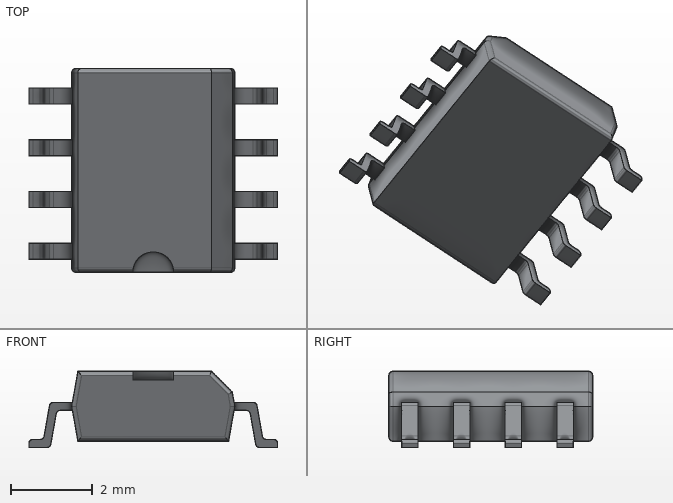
import cadquery as cq
import math

SPAN = 6.1
HEIGHT = 1.87
DRAFT = math.tan(math.radians(10))

BODY_LENGTH = 5.0
BODY_WIDTH = 4.0
STANDOFF = 0.15
BEVEL_DROP = 0.51
END_RADIUS = 0.11

NOTCH_RADIUS = 0.5
NOTCH_DEPTH = 0.22

LEADS_PER_SIDE = 4
LEAD_PITCH = 1.27
LEAD_ROW_OFFSET = -0.08
LEAD_WIDTH = 0.4
LEAD_THICKNESS = 0.2
LEAD_TOP = 1.11
LEAD_SHOULDER = 2.53
LEAD_EMBED = 0.245
LEAD_RADIUS = 0.1


def make_body():
    """Extrude the drafted cross-section along Y and round the edges of both ends."""
    half_width = BODY_WIDTH / 2
    parting_z = (HEIGHT + STANDOFF) / 2
    face_half_width = half_width - (HEIGHT - parting_z) * DRAFT
    bevel_z = HEIGHT - BEVEL_DROP
    bevel_x = half_width - (bevel_z - parting_z) * DRAFT
    outline = [
        (-face_half_width, STANDOFF),
        (face_half_width, STANDOFF),
        (half_width, parting_z),
        (bevel_x, bevel_z),
        (bevel_x - BEVEL_DROP, HEIGHT),
        (-face_half_width, HEIGHT),
        (-half_width, parting_z),
    ]
    body = cq.Workplane("XZ").polyline(outline).close().extrude(BODY_LENGTH / 2, both=True)
    return body.faces("<Y or >Y").edges().fillet(END_RADIUS)


def make_notch():
    """Cylinder centred on the -Y end face, sunk into the top of the body."""
    return (
        cq.Workplane("XY", origin=(0, -BODY_LENGTH / 2, HEIGHT - NOTCH_DEPTH))
        .circle(NOTCH_RADIUS)
        .extrude(NOTCH_DEPTH)
    )


def make_lead():
    """One +X lead, centred on Y = 0: shoulder, sloping leg and flat foot of equal thickness."""
    tip_x = SPAN / 2
    root_x = BODY_WIDTH / 2 - LEAD_EMBED
    shoulder_bottom = LEAD_TOP - LEAD_THICKNESS
    leg_thickness_x = LEAD_THICKNESS * math.hypot(1, DRAFT)

    def leg_outer_x(z):
        return LEAD_SHOULDER + (LEAD_TOP - z) * DRAFT

    def leg_inner_x(z):
        return leg_outer_x(z) - leg_thickness_x

    outline = [
        (root_x, LEAD_TOP),
        (LEAD_SHOULDER, LEAD_TOP),
        (leg_outer_x(LEAD_THICKNESS), LEAD_THICKNESS),
        (tip_x, LEAD_THICKNESS),
        (tip_x, 0),
        (leg_inner_x(0), 0),
        (leg_inner_x(shoulder_bottom), shoulder_bottom),
        (root_x, shoulder_bottom),
    ]
    lead = cq.Workplane("XZ").polyline(outline).close().extrude(LEAD_WIDTH / 2, both=True)
    lead = lead.edges("|Y and (not (<X or >X))").fillet(LEAD_RADIUS)
    return lead.faces(">X").edges(">Z").fillet(LEAD_RADIUS)


result = make_body().cut(make_notch())
right_lead = make_lead()
left_lead = right_lead.mirror("YZ")
for index in range(LEADS_PER_SIDE):
    lead_y = LEAD_ROW_OFFSET + (index - (LEADS_PER_SIDE - 1) / 2) * LEAD_PITCH
    for lead in (left_lead, right_lead):
        result = result.union(lead.translate((0, lead_y, 0)))